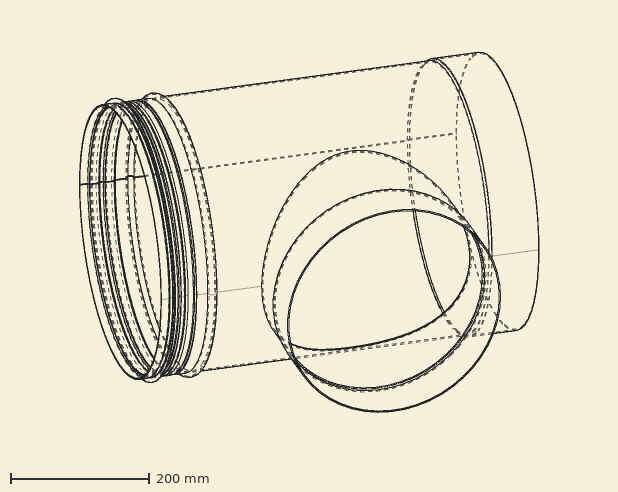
import cadquery as cq
import math

total_length = 570.0
overall_width = 542.0
sheet = 2.0

main_radius = 400.5 / 2
main_bore = main_radius - sheet
branch_from_spigot = 310.0
spigot_y = -branch_from_spigot
socket_y = spigot_y + total_length

socket_straight = 70.5
socket_flare = 4.0
main_socket_bore = 402.0 / 2
branch_radius = 317.0 / 2
branch_bore = branch_radius - sheet
branch_socket_bore = 318.0 / 2

seam_gap = 0.5

bead_radius = 7.0
bead_y = spigot_y + 77.0

groove_width = 18.0
groove_floor = 13.5
groove_depth = 3.0
floor_radius = main_radius - groove_depth
lip_groove_y = spigot_y + 21.0
plain_groove_y = spigot_y + 44.5
seal_land = 8.0
lip_radius = 414.5 / 2
lip_thickness = 1.0
lip_y = spigot_y + 18.0

branch_end = overall_width - lip_radius


def groove_outline(profile, groove_y, surface_radius):
    """Continue a wall line in +Y through one trapezoidal groove."""
    bottom_radius = surface_radius - groove_depth
    return (
        profile
        .lineTo(surface_radius, groove_y - groove_width / 2)
        .lineTo(bottom_radius, groove_y - groove_floor / 2)
        .lineTo(bottom_radius, groove_y + groove_floor / 2)
        .lineTo(surface_radius, groove_y + groove_width / 2)
    )


def main_envelope(pipe_radius, socket_radius, bead_section_radius):
    """Solid of revolution bounded by one skin of the main pipe wall."""
    profile = cq.Workplane("XY").moveTo(0, spigot_y).lineTo(pipe_radius, spigot_y)
    profile = groove_outline(profile, lip_groove_y, pipe_radius)
    profile = groove_outline(profile, plain_groove_y, pipe_radius)
    bead_crest = main_radius + bead_section_radius
    bead_half_width = math.sqrt(bead_section_radius**2 - (main_radius - pipe_radius)**2)
    straight_start = socket_y - socket_straight
    profile = (
        profile
        .lineTo(pipe_radius, bead_y - bead_half_width)
        .threePointArc((bead_crest, bead_y), (pipe_radius, bead_y + bead_half_width))
        .lineTo(pipe_radius, straight_start - socket_flare)
        .lineTo(socket_radius, straight_start)
        .lineTo(socket_radius, socket_y)
        .lineTo(0, socket_y)
        .close()
    )
    return profile.revolve(360, (0, 0, 0), (0, 1, 0))


def branch_envelope(pipe_radius, socket_radius):
    """Solid of revolution about X bounded by one skin of the branch wall."""
    straight_start = branch_end - socket_straight
    return (
        cq.Workplane("XY")
        .lineTo(0, pipe_radius)
        .lineTo(straight_start - socket_flare, pipe_radius)
        .lineTo(straight_start, socket_radius)
        .lineTo(branch_end, socket_radius)
        .lineTo(branch_end, 0)
        .close()
        .revolve(360, (0, 0, 0), (1, 0, 0))
    )


def cylinder_y(radius, start_y, length):
    """Solid cylinder on the main axis, running in +Y from start_y."""
    return cq.Workplane("XZ", origin=(0, start_y, 0)).circle(radius).extrude(-length)


def make_main_pipe():
    """Main pipe with socket, bead, grooves, branch opening and seam gap."""
    outside = main_envelope(main_radius, main_socket_bore + sheet, bead_radius)
    inside = main_envelope(main_bore, main_socket_bore, bead_radius - sheet)
    opening = cq.Workplane("YZ").circle(branch_bore).extrude(branch_end)
    seam_cutter = (
        cq.Workplane("XY", origin=(0, spigot_y, 0))
        .box(lip_radius, total_length, seam_gap, centered=(False, False, True))
        .translate((-lip_radius, 0, 0))
    )
    return outside.cut(inside).cut(opening).cut(seam_cutter)


def make_branch_pipe():
    """Branch pipe with socket, cut to sit on the outside of the main pipe."""
    outside = branch_envelope(branch_radius, branch_socket_bore + sheet)
    inside = branch_envelope(branch_bore, branch_socket_bore)
    main_body = cylinder_y(main_radius, spigot_y, total_length)
    return outside.cut(inside).cut(main_body)


def make_plain_seal(groove_y):
    """Ring that fills a groove floor and tapers to a land flush with the pipe."""
    return (
        cq.Workplane("XY")
        .moveTo(floor_radius, groove_y - groove_floor / 2)
        .lineTo(main_radius, groove_y - seal_land / 2)
        .lineTo(main_radius, groove_y + seal_land / 2)
        .lineTo(floor_radius, groove_y + groove_floor / 2)
        .close()
        .revolve(360, (0, 0, 0), (0, 1, 0))
    )


def make_lip_seal(groove_y):
    """The same ring with a thin lip that stands out around it."""
    lip = cylinder_y(lip_radius, lip_y, lip_thickness)
    lip = lip.cut(cylinder_y(floor_radius, lip_y, lip_thickness))
    return make_plain_seal(groove_y).union(lip)


main_pipe = make_main_pipe()
branch_pipe = make_branch_pipe()
plain_seal = make_plain_seal(plain_groove_y)
lip_seal = make_lip_seal(lip_groove_y)

result = cq.Compound.makeCompound([
    main_pipe.solids().val(),
    branch_pipe.solids().val(),
    plain_seal.solids().val(),
    lip_seal.solids().val(),
])